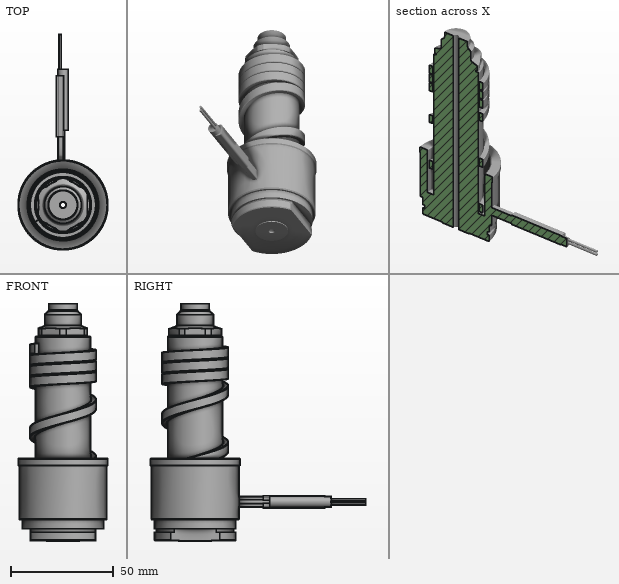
import cadquery as cq
import math

TOTAL_HEIGHT = 116.3
BORE_RADIUS = 1.5
TIP_RADIUS = 7.0
TIP_FLARE_RADIUS = 7.25
TIP_FLARE_TOP_Z = 113.3
TIP_FLARE_BOTTOM_Z = 112.6
NECK_RADIUS = 9.0
NECK_TOP_Z = 111.0
NECK_BOTTOM_Z = 105.7
NECK_FOOT_RADIUS = 9.8
NECK_FOOT_Z = 105.1
BARREL_RADIUS = 13.5
BARREL_TOP_Z = 100.3
BARREL_CHAMFER = 0.4

NUT_ACROSS_FLATS = 24.0
NUT_CORNER_RADIUS = 13.0
NUT_SHOULDER_Z = 104.0
NUT_BOTTOM_Z = 100.8
NUT_SEAT_RADIUS = 12.0

RIM_RADIUS = 22.0
RIM_TOP_Z = 40.6
RIM_BOTTOM_Z = 37.4
RIM_CHAMFER = 0.4
CUP_RADIUS = 21.5
CUP_TOP_Z = 37.0
CUP_BOTTOM_Z = 10.5
CUP_CHAMFER = 0.5
CAVITY_RADIUS = 17.0
CAVITY_CHAMFER = 0.5
CAVITY_FLOOR_Z = 15.0
COLLAR_RADIUS = 20.0
COLLAR_BOTTOM_Z = 6.1
GROOVE_RADIUS = 19.0
GROOVE_BOTTOM_Z = 4.5
DISC_BOTTOM_Z = 0.4
DISC_CHAMFER = 0.4
PAD_RADIUS = 8.0
FLATS_WIDTH = 32.0

RIBBON_INNER_RADIUS = 13.9
RIBBON_OUTER_RADIUS = 16.3
RIBBON_HEIGHT = 5.0
RIBBON_CHAMFER = 0.3
RIBBON_TOP_Z = 94.4
RIBBON_TOP_ANGLE = 211.4
CLOSE_PITCH = 5.3
CLOSE_TURNS = 3.04
OPEN_PITCH = 27.7
RAMP_TURNS = 0.35
RIBBON_END_Z = CAVITY_FLOOR_Z - RIBBON_HEIGHT
PATH_POINTS_PER_TURN = 24

CABLE_Z = 19.4
CABLE_START_Y = (CAVITY_RADIUS + CUP_RADIUS) / 2
LEAD_WIDTH = 2.65
LEAD_LEFT_X = -2.5
LEAD_HEIGHT = 5.3
LEAD_CORNER = 0.5
CORE_RADIUS = 0.95
SLEEVE_LEFT_X = -3.35
SLEEVE_WIDTH = 3.9
SLEEVE_HEIGHT = 6.1
SLEEVE_CORNER = 0.95
SLEEVE_START_Y = 33.3
TUBE_LENGTH = 30.0
JACKET_RADIUS = 2.65
JACKET_START_Y = 36.5
WIRE_X = -1.4
WIRE_RADIUS = 0.65
WIRE_SPACING = 1.9
WIRE_END_Y = 83.5


def revolved(profile):
    """Turn a closed (radius, z) outline about the Z axis."""
    return cq.Workplane("XZ").polyline(profile).close().revolve(360, (0, 0, 0), (0, 1, 0))


def cylinder(radius, bottom, top):
    return cq.Workplane("XY").workplane(offset=bottom).circle(radius).extrude(top - bottom)


def make_barrel():
    """Barrel, nut seat, neck and tip as one turned body running down to the base."""
    return revolved([
        (0, DISC_BOTTOM_Z),
        (BARREL_RADIUS, DISC_BOTTOM_Z),
        (BARREL_RADIUS, BARREL_TOP_Z - BARREL_CHAMFER),
        (BARREL_RADIUS - BARREL_CHAMFER, BARREL_TOP_Z),
        (NUT_SEAT_RADIUS, BARREL_TOP_Z),
        (NUT_SEAT_RADIUS, NUT_BOTTOM_Z),
        (NECK_RADIUS, NUT_BOTTOM_Z),
        (NECK_RADIUS, NECK_TOP_Z),
        (TIP_FLARE_RADIUS, TIP_FLARE_BOTTOM_Z),
        (TIP_RADIUS, TIP_FLARE_TOP_Z),
        (TIP_RADIUS, TOTAL_HEIGHT),
        (0, TOTAL_HEIGHT),
    ])


def make_nut():
    """Hexagon with flats facing +X and -X, rounded corners and a conical top."""
    envelope = revolved([
        (0, NUT_BOTTOM_Z),
        (NUT_CORNER_RADIUS, NUT_BOTTOM_Z),
        (NUT_CORNER_RADIUS, NUT_SHOULDER_Z),
        (NECK_FOOT_RADIUS, NECK_FOOT_Z),
        (NECK_RADIUS, NECK_BOTTOM_Z),
        (0, NECK_BOTTOM_Z),
    ])
    hexagon = (
        cq.Workplane("XY")
        .workplane(offset=NUT_BOTTOM_Z)
        .polygon(6, NUT_ACROSS_FLATS, circumscribed=True)
        .extrude(NECK_BOTTOM_Z - NUT_BOTTOM_Z)
    )
    return envelope.intersect(hexagon)


def make_housing():
    """Hollow cup with a raised rim on a collar."""
    return revolved([
        (0, COLLAR_BOTTOM_Z),
        (COLLAR_RADIUS, COLLAR_BOTTOM_Z),
        (COLLAR_RADIUS, CUP_BOTTOM_Z),
        (CUP_RADIUS - CUP_CHAMFER, CUP_BOTTOM_Z),
        (CUP_RADIUS, CUP_BOTTOM_Z + CUP_CHAMFER),
        (CUP_RADIUS, CUP_TOP_Z),
        (RIM_RADIUS, RIM_BOTTOM_Z),
        (RIM_RADIUS, RIM_TOP_Z - RIM_CHAMFER),
        (RIM_RADIUS - RIM_CHAMFER, RIM_TOP_Z),
        (CAVITY_RADIUS + CAVITY_CHAMFER, RIM_TOP_Z),
        (CAVITY_RADIUS, RIM_TOP_Z - CAVITY_CHAMFER),
        (CAVITY_RADIUS, CAVITY_FLOOR_Z),
        (0, CAVITY_FLOOR_Z),
    ])


def make_base():
    """Grooved foot with two wrench flats facing +X and -X, and a thin round pad below."""
    foot = revolved([
        (0, DISC_BOTTOM_Z),
        (COLLAR_RADIUS - DISC_CHAMFER, DISC_BOTTOM_Z),
        (COLLAR_RADIUS, DISC_BOTTOM_Z + DISC_CHAMFER),
        (COLLAR_RADIUS, GROOVE_BOTTOM_Z),
        (GROOVE_RADIUS, GROOVE_BOTTOM_Z),
        (GROOVE_RADIUS, COLLAR_BOTTOM_Z),
        (0, COLLAR_BOTTOM_Z),
    ])
    flats = (
        cq.Workplane("XY")
        .rect(FLATS_WIDTH, 2 * COLLAR_RADIUS)
        .extrude(COLLAR_BOTTOM_Z)
    )
    return foot.intersect(flats).union(cylinder(PAD_RADIUS, 0, DISC_BOTTOM_Z))


def ribbon_drop(turns):
    """Height lost after a number of turns down from the top end; the pitch ramps linearly."""
    ramp = min(max(turns - CLOSE_TURNS, 0), RAMP_TURNS)
    opened = max(turns - CLOSE_TURNS - RAMP_TURNS, 0)
    ramp_drop = ramp * CLOSE_PITCH + (OPEN_PITCH - CLOSE_PITCH) * ramp**2 / (2 * RAMP_TURNS)
    return min(turns, CLOSE_TURNS) * CLOSE_PITCH + ramp_drop + opened * OPEN_PITCH


def ribbon_point(turns, radius, rise):
    angle = math.radians(RIBBON_TOP_ANGLE - 360 * turns)
    return cq.Vector(
        radius * math.cos(angle),
        radius * math.sin(angle),
        RIBBON_TOP_Z - ribbon_drop(turns) + rise,
    )


def ribbon_stretch(start_turns, end_turns):
    """One stretch of the coil, its ruled sides spanning the curves traced by the section corners."""
    half = RIBBON_HEIGHT / 2
    chamfer_start = RIBBON_OUTER_RADIUS - RIBBON_CHAMFER
    corners = [
        (RIBBON_INNER_RADIUS, -half),
        (chamfer_start, -half),
        (RIBBON_OUTER_RADIUS, -half + RIBBON_CHAMFER),
        (RIBBON_OUTER_RADIUS, half - RIBBON_CHAMFER),
        (chamfer_start, half),
        (RIBBON_INNER_RADIUS, half),
    ]
    steps = math.ceil((end_turns - start_turns) * PATH_POINTS_PER_TURN)
    turns = [start_turns + (end_turns - start_turns) * i / steps for i in range(steps + 1)]
    curves = [cq.Edge.makeSpline([ribbon_point(t, r, rise) for t in turns]) for r, rise in corners]
    faces = [cq.Face.makeRuledSurface(curves[i - 1], curves[i]) for i in range(len(curves))]
    for end in (start_turns, end_turns):
        outline = [ribbon_point(end, r, rise) for r, rise in corners]
        faces.append(cq.Face.makeFromWires(cq.Wire.makePolygon(outline, close=True)))
    return cq.Workplane(cq.Solid.makeSolid(cq.Shell.makeShell(faces)).fix())


def make_ribbon():
    ramp_end = CLOSE_TURNS + RAMP_TURNS
    open_height = RIBBON_TOP_Z - ribbon_drop(ramp_end) - RIBBON_END_Z
    last_turn = ramp_end + open_height / OPEN_PITCH
    close_coils = ribbon_stretch(0, CLOSE_TURNS)
    ramp = ribbon_stretch(CLOSE_TURNS, ramp_end)
    open_coils = ribbon_stretch(ramp_end, last_turn)
    return close_coils.union(ramp).union(open_coils)


def rod(x, z, radius, start_y, end_y):
    """Round rod along +Y."""
    end_plane = cq.Plane(origin=(x, start_y, z), xDir=(-1, 0, 0), normal=(0, 1, 0))
    return cq.Workplane(end_plane).circle(radius).extrude(end_y - start_y)


def rounded_bar(left_x, width, height, corner, start_y, end_y):
    """Bar along +Y with its four long edges rounded, centred on the cable height."""
    return (
        cq.Workplane("XY")
        .box(width, end_y - start_y, height, centered=(False, False, True))
        .edges("|Y")
        .fillet(corner)
        .translate((left_x, start_y, CABLE_Z))
    )


def make_cable():
    """Flat lead with a round core, then a flat sleeve beside a round jacket and two wires."""
    sleeve_end_y = SLEEVE_START_Y + TUBE_LENGTH
    jacket_end_y = JACKET_START_Y + TUBE_LENGTH
    cable = rounded_bar(
        LEAD_LEFT_X, LEAD_WIDTH, LEAD_HEIGHT, LEAD_CORNER, CABLE_START_Y, sleeve_end_y
    )
    cable = cable.union(rod(0, CABLE_Z, CORE_RADIUS, CABLE_START_Y, jacket_end_y))
    cable = cable.union(
        rounded_bar(
            SLEEVE_LEFT_X, SLEEVE_WIDTH, SLEEVE_HEIGHT, SLEEVE_CORNER, SLEEVE_START_Y, sleeve_end_y
        )
    )
    cable = cable.union(rod(0, CABLE_Z, JACKET_RADIUS, JACKET_START_Y, jacket_end_y))
    for side in (-1, 1):
        wire_z = CABLE_Z + side * WIRE_SPACING / 2
        cable = cable.union(rod(WIRE_X, wire_z, WIRE_RADIUS, JACKET_START_Y, WIRE_END_Y))
    return cable


body = make_barrel().union(make_nut()).union(make_housing()).union(make_base())
body = body.union(make_cable()).union(make_ribbon())
result = body.cut(cylinder(BORE_RADIUS, 0, TOTAL_HEIGHT))